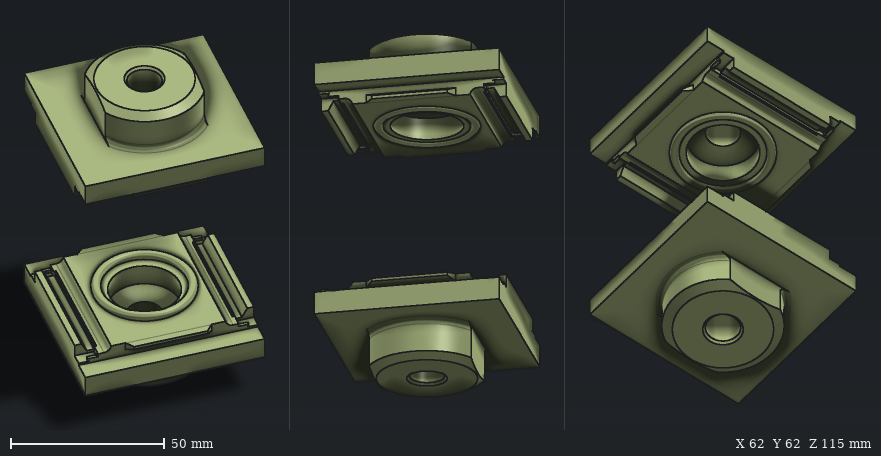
import cadquery as cq
import math


overall_height = 115.0
plate_size = 62.0
plate_thickness = 7.7
flange_height = 26.2

pad_half_x = 24.3
pad_half_y = 24.3
plate_level = 5.2
corner_level = 4.4
channel_level = 3.3

rail_half_length = 20.1
rail_foot_y = 26.8
rail_crest_y = 28.6
cove_edge_y = 19.8
cove_radius = 2.5
ledge_level = 2.2
lip_start_y = 23.5
lip_peak_y = 23.8
lip_level = 1.6
lip_shoulder_level = 2.0

rib_thickness = 1.2
rib_end_y = 27.8
rib_corner_radius = 0.5
rib_root_radius = 0.6

wing_reach = 2.5
wing_root_half = 15.0
wing_tip_half = 12.6
wing_root_level = 2.8
wing_tip_level = 1.4
wing_tip_drop = 0.2

boss_radius = 20.0
boss_base_radius = 2.0
boss_chamfer_height = 1.8
boss_chamfer_width = 3.5
flat_distance = 34.2

hole_diameter = 11.5
hole_chamfer = 0.86
bore_diameter = 24.0
bore_depth = 7.5
cone_end_level = 10.0

ring_outer_diameter = 35.1
ring_section = 3.2
upper_ring_protrusion = 1.2

half_gap = overall_height / 2 - flange_height
boss_level = plate_level + plate_thickness
ring_inner_diameter = ring_outer_diameter - 2 * ring_section
lower_ring_protrusion = ring_section
ring_groove_depth = ring_section - upper_ring_protrusion


def level_box(x_range, y_range, z_range):
    """Box between the given limits on each axis."""
    size = [high - low for low, high in (x_range, y_range, z_range)]
    corner = (x_range[0], y_range[0], z_range[0])
    return cq.Workplane("XY").box(*size, centered=False).translate(corner)


def make_plate():
    plate = cq.Workplane("XY").workplane(offset=plate_level).rect(plate_size, plate_size)
    return plate.extrude(plate_thickness)


def make_pad():
    """Pad core with a cove and a flat ledge along each Y side, on a full-width step."""
    cove_rise = cove_radius - ledge_level
    cove_end_y = cove_edge_y + math.sqrt(cove_radius**2 - cove_rise**2)
    half_sweep = math.acos(cove_rise / cove_radius) / 2
    cove_mid_y = cove_end_y - cove_radius * math.sin(half_sweep)
    cove_mid_level = cove_radius * math.cos(half_sweep) - cove_rise
    core = (
        cq.Workplane("YZ")
        .moveTo(-cove_edge_y, 0)
        .lineTo(cove_edge_y, 0)
        .threePointArc((cove_mid_y, cove_mid_level), (cove_end_y, ledge_level))
        .lineTo(pad_half_y, ledge_level)
        .lineTo(pad_half_y, plate_level)
        .lineTo(-pad_half_y, plate_level)
        .lineTo(-pad_half_y, ledge_level)
        .lineTo(-cove_end_y, ledge_level)
        .threePointArc((-cove_mid_y, cove_mid_level), (-cove_edge_y, 0))
        .close()
        .extrude(pad_half_x, both=True)
    )
    half_plate = plate_size / 2
    step = level_box((-pad_half_x, pad_half_x), (-half_plate, half_plate), (corner_level, plate_level))
    return core.union(step)


def make_rail():
    """Rail, channel floor and sealing lip on the +Y side."""
    half_plate = plate_size / 2
    rail = (
        cq.Workplane("YZ")
        .polyline([
            (pad_half_y, plate_level),
            (pad_half_y, channel_level),
            (rail_foot_y, channel_level),
            (rail_crest_y, 0),
            (half_plate, 0),
            (half_plate, plate_level),
        ])
        .close()
        .extrude(rail_half_length, both=True)
    )
    lip = (
        cq.Workplane("YZ")
        .polyline([
            (lip_start_y, ledge_level),
            (lip_peak_y, lip_level),
            (pad_half_y, lip_shoulder_level),
            (pad_half_y, channel_level),
            (lip_start_y, channel_level),
        ])
        .close()
        .extrude(rail_half_length, both=True)
    )
    return rail, lip


def make_corner_rib():
    """Rib flush with the +X side of the pad, with a rounded corner and a filleted root."""
    inner_x = pad_half_x - rib_thickness
    corner_mid = rib_corner_radius * (1 - math.sqrt(0.5))
    root_mid = rib_root_radius * (1 - math.sqrt(0.5))
    return (
        cq.Workplane("XY")
        .workplane(offset=channel_level)
        .moveTo(pad_half_x, pad_half_y)
        .lineTo(pad_half_x, rib_end_y - rib_corner_radius)
        .threePointArc(
            (pad_half_x - corner_mid, rib_end_y - corner_mid),
            (pad_half_x - rib_corner_radius, rib_end_y),
        )
        .lineTo(inner_x, rib_end_y)
        .lineTo(inner_x, pad_half_y + rib_root_radius)
        .threePointArc(
            (inner_x - root_mid, pad_half_y + root_mid),
            (inner_x - rib_root_radius, pad_half_y),
        )
        .close()
        .extrude(corner_level - channel_level)
    )


def make_wing():
    """Wing on the +X side, tapering towards its tip in plan and in height."""
    root = cq.Workplane("YZ").workplane(offset=pad_half_x)
    root = root.center(0, wing_root_level / 2).rect(2 * wing_root_half, wing_root_level)
    tip_height = wing_tip_level - wing_tip_drop
    tip_shift = (wing_tip_level + wing_tip_drop - wing_root_level) / 2
    tip = root.workplane(offset=wing_reach).center(0, tip_shift).rect(2 * wing_tip_half, tip_height)
    return tip.loft(ruled=True)


def make_boss():
    """Turned boss with a flared foot and a chamfered end, cut by two flats."""
    foot_radius = boss_radius + boss_base_radius
    foot_top = boss_level + boss_base_radius
    foot_mid = boss_base_radius * (1 - math.sqrt(0.5))
    boss = (
        cq.Workplane("XZ")
        .moveTo(0, boss_level)
        .lineTo(foot_radius, boss_level)
        .threePointArc((boss_radius + foot_mid, boss_level + foot_mid), (boss_radius, foot_top))
        .lineTo(boss_radius, flange_height - boss_chamfer_height)
        .lineTo(boss_radius - boss_chamfer_width, flange_height)
        .lineTo(0, flange_height)
        .close()
        .revolve(360, (0, 0), (0, 1))
    )
    return boss.intersect(
        level_box(
            (-foot_radius, foot_radius),
            (-flat_distance / 2, flat_distance / 2),
            (boss_level, flange_height),
        )
    )


def make_bore():
    """Through hole, chamfered at the boss end, opening by a cone into the wide bore."""
    hole_radius = hole_diameter / 2
    bore_radius = bore_diameter / 2
    return (
        cq.Workplane("XZ")
        .polyline([
            (0, 0),
            (bore_radius, 0),
            (bore_radius, bore_depth),
            (hole_radius, cone_end_level),
            (hole_radius, flange_height - hole_chamfer),
            (hole_radius + hole_chamfer, flange_height),
            (0, flange_height),
        ])
        .close()
        .revolve(360, (0, 0), (0, 1))
    )


def make_ring_groove():
    groove = cq.Workplane("XY").circle(ring_outer_diameter / 2).circle(ring_inner_diameter / 2)
    return groove.extrude(ring_groove_depth)


def make_flange():
    flange = make_plate().union(make_pad()).union(make_boss())
    wing = make_wing()
    flange = flange.union(wing).union(wing.mirror("YZ"))
    for feature in make_rail():
        flange = flange.union(feature).union(feature.mirror("XZ"))
    rib = make_corner_rib()
    for side_rib in (rib, rib.mirror("YZ")):
        flange = flange.union(side_rib).union(side_rib.mirror("XZ"))
    return flange.cut(make_bore())


def make_ring(protrusion):
    """O-ring standing out of the mating face by the given protrusion."""
    section_radius = ring_section / 2
    mean_radius = (ring_outer_diameter + ring_inner_diameter) / 4
    ring = cq.Solid.makeTorus(mean_radius, section_radius)
    return cq.Workplane(ring).translate((0, 0, section_radius - protrusion))


def place_upper(body):
    return body.translate((0, 0, half_gap))


def place_lower(body):
    return place_upper(body).mirror("XY")


flange = make_flange()
upper_flange = place_upper(flange.cut(make_ring_groove()))
lower_flange = place_lower(flange)
upper_ring = place_upper(make_ring(upper_ring_protrusion))
lower_ring = place_lower(make_ring(lower_ring_protrusion))

result = cq.Compound.makeCompound([
    upper_flange.val(),
    lower_flange.val(),
    upper_ring.val(),
    lower_ring.val(),
])